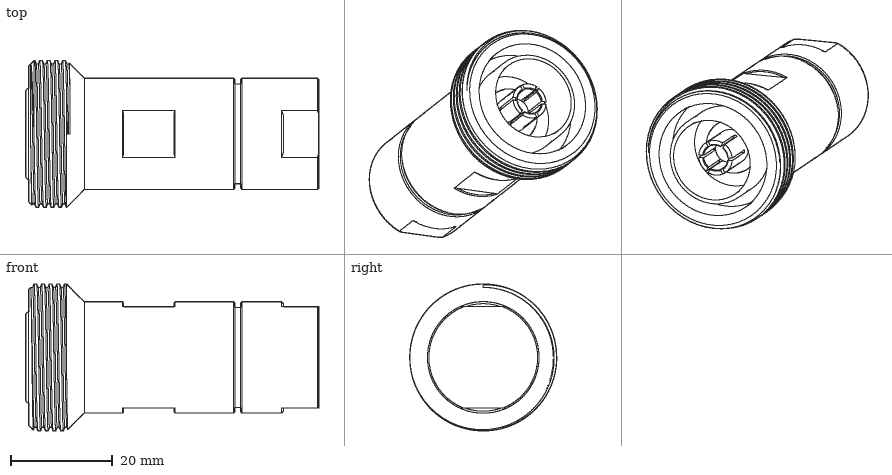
import cadquery as cq
import math

length = 57.75
body_diameter = 22.0
body_radius = body_diameter / 2
flange_radius = 14.5
flange_start = 0.6
neck_start = 11.55
edge_chamfer = 0.3

thread_pitch = 1.5
thread_root_radius = 13.8
thread_root_width = 0.4
thread_mouth_width = 1.0
thread_first_groove = -0.35
thread_turns = 6
thread_overcut = 0.1
lead_radius = 13.4

recess_radius = 11.4
recess_depth = 8.1
sleeve_radius = 9.0
sleeve_rounding = 0.65
socket_radius = 8.1
socket_depth = 11.55
collar_radius = 5.35
collar_height = 0.6

contact_radius = 3.5
contact_front = 1.95
contact_bore_radius = 2.55
contact_bore_chamfer = 0.2
contact_bore_end = 8.65
contact_drill_angle = 118
slot_count = 6
slot_width = 0.5
slot_end = 8.65

groove_start = 41.25
groove_end = 42.35
groove_radius = 9.9

flat_height = 10.0
mid_flat_start = 19.05
mid_flat_end = 29.45
mid_flat_break = 0.25
rear_flat_start = 50.4
rear_flat_break = 0.4


def revolve_about_x(points):
    """Revolve a closed (x, radius) outline around the X axis."""
    return cq.Workplane("XY").polyline(points).close().revolve(360, (0, 0, 0), (1, 0, 0))


def make_body():
    groove_mouth = body_radius - edge_chamfer
    cone_start = neck_start - (flange_radius - body_radius)
    return revolve_about_x([
        (0, 0),
        (0, sleeve_radius),
        (flange_start, sleeve_radius),
        (flange_start, lead_radius),
        (flange_start + flange_radius - lead_radius, flange_radius),
        (cone_start, flange_radius),
        (neck_start, body_radius),
        (groove_start - edge_chamfer, body_radius),
        (groove_start, groove_mouth),
        (groove_start, groove_radius),
        (groove_end, groove_radius),
        (groove_end, groove_mouth),
        (groove_end + edge_chamfer, body_radius),
        (length - edge_chamfer, body_radius),
        (length, body_radius - edge_chamfer),
        (length, 0),
    ])


def make_thread_groove():
    """Sweep a trapezoid, starting at +Z, along a right-handed helix around X."""
    flank_slope = (thread_mouth_width - thread_root_width) / 2 / (flange_radius - thread_root_radius)
    half_root = thread_root_width / 2
    half_mouth = thread_mouth_width / 2 + flank_slope * thread_overcut
    outer_radius = flange_radius + thread_overcut
    helix = cq.Wire.makeHelix(thread_pitch, thread_pitch * thread_turns, thread_root_radius)
    cutter = (
        cq.Workplane("XZ")
        .polyline([
            (thread_root_radius, -half_root),
            (outer_radius, -half_mouth),
            (outer_radius, half_mouth),
            (thread_root_radius, half_root),
        ])
        .close()
        .sweep(cq.Workplane(obj=helix), isFrenet=True)
    )
    cutter = cutter.rotate((0, 0, 0), (0, 1, 0), 90).rotate((0, 0, 0), (1, 0, 0), 180)
    return cutter.translate((thread_first_groove, 0, 0))


def make_recess():
    return revolve_about_x([
        (flange_start, sleeve_radius),
        (flange_start, recess_radius),
        (recess_depth, recess_radius),
        (recess_depth, sleeve_radius),
    ])


def make_socket():
    """Socket with a low collar left standing on its floor."""
    collar_front = socket_depth - collar_height
    return revolve_about_x([
        (0, 0),
        (0, socket_radius),
        (socket_depth, socket_radius),
        (socket_depth, collar_radius),
        (collar_front, collar_radius),
        (collar_front, 0),
    ])


def make_sleeve_rounding():
    """Waste outside the quarter-round at the outer edge of the sleeve's front face."""
    arc_drop = sleeve_rounding * (1 - math.sqrt(0.5))
    return (
        cq.Workplane("XY")
        .moveTo(0, sleeve_radius - sleeve_rounding)
        .threePointArc((arc_drop, sleeve_radius - arc_drop), (sleeve_rounding, sleeve_radius))
        .lineTo(0, sleeve_radius)
        .close()
        .revolve(360, (0, 0, 0), (1, 0, 0))
    )


def make_contact():
    bore_tip = contact_bore_end + contact_bore_radius / math.tan(math.radians(contact_drill_angle / 2))
    contact = revolve_about_x([
        (contact_front, contact_bore_radius + contact_bore_chamfer),
        (contact_front, contact_radius),
        (socket_depth, contact_radius),
        (socket_depth, 0),
        (bore_tip, 0),
        (contact_bore_end, contact_bore_radius),
        (contact_front + contact_bore_chamfer, contact_bore_radius),
    ])
    slot_length = slot_end - contact_front
    for index in range(slot_count):
        slot = (
            cq.Workplane("XY")
            .box(slot_length, contact_radius * 2, slot_width, centered=(False, False, True))
            .translate((contact_front, 0, 0))
            .rotate((0, 0, 0), (1, 0, 0), index * 360 / slot_count)
        )
        contact = contact.cut(slot)
    return contact


def cut_flats(part, start, end, edge_break):
    """Cut a flat on top and bottom, breaking the rim of its end walls by edge_break."""
    floor_start = start + edge_break
    floor_end = end - edge_break
    ring = revolve_about_x([
        (start, body_radius),
        (floor_start, body_radius - edge_break),
        (floor_start, flat_height),
        (floor_end, flat_height),
        (floor_end, body_radius - edge_break),
        (end, body_radius),
    ])
    depth = body_radius - flat_height
    for side in (1, -1):
        block = cq.Workplane("XY").box(end - start, 2 * body_radius, depth)
        block = block.translate(((start + end) / 2, 0, side * (flat_height + depth / 2)))
        part = part.cut(ring.intersect(block))
    return part


body = make_body().cut(make_thread_groove())
body = body.cut(make_recess()).cut(make_socket()).cut(make_sleeve_rounding())
body = cut_flats(body, mid_flat_start, mid_flat_end, mid_flat_break)
body = cut_flats(body, rear_flat_start, length + rear_flat_break, rear_flat_break)
result = body.union(make_contact())